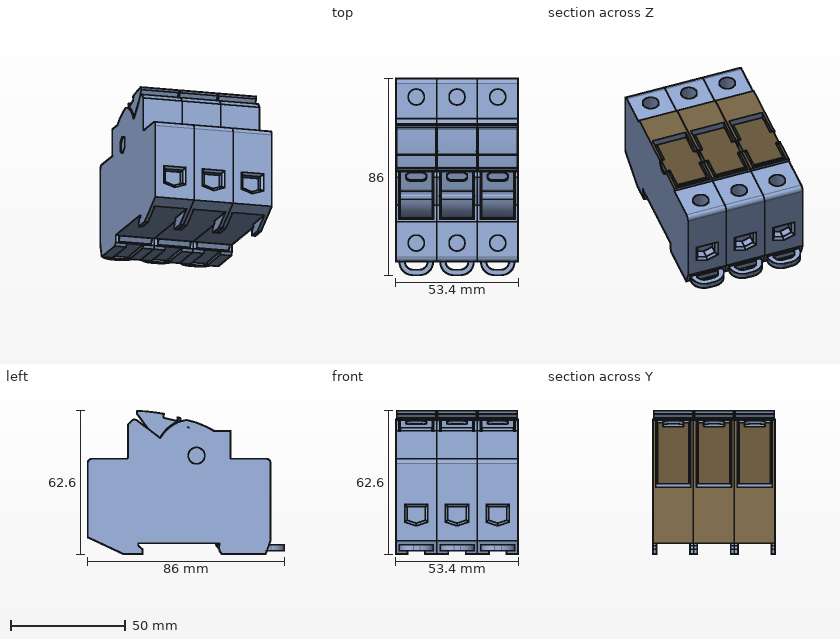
import cadquery as cq
import math


POLE_COUNT = 3
POLE_PITCH = 17.8
BODY_LENGTH = 80.0
HALF_LENGTH = BODY_LENGTH / 2

SHOULDER_Z = 41.7
SHOULDER_FILLET = 2.0
TOWER_FRONT_Y = -22.5
TOWER_FRONT_Z = 53.8
TOWER_BACK_Y = 22.4
TOWER_PEAK_Z = 58.65
TOWER_CHAMFER = 2.1
TOWER_FOOT_FILLET = 0.7
BROW_START = (-15.4, TOWER_FRONT_Z)
BROW_MIDDLE = (-9.45, 56.75)
CREST = (-3.2, TOWER_PEAK_Z)
NOTCH_MIDDLE = (4.0, 55.5)
NOTCH_TIP = (8.3, 50.7)
NOTCH_BACK = (18.65, TOWER_PEAK_Z)
RIDGE = (19.6, TOWER_PEAK_Z + 0.2)

RAIL_Z = 4.65
RAIL_BACK_Y = 17.8
RAIL_FRONT_Y = -17.6
BACK_SLOPE_TOP_Z = 7.3
BACK_SLOPE_FOOT_Y = 24.4
HOOK_NOSE_Y = 16.0
HOOK_NOSE_Z = 2.1
HOOK_ROOT_Z = 3.7
FRONT_FOOT_CHAMFER_Y = -18.6
FRONT_SLOPE_FOOT_Y = -37.8
FRONT_SLOPE_TOP_Z = 5.9
FRONT_SLOT_WIDTH = 7.6
BACK_SLOT_WIDTH = 14.6

HINGE_Y = -7.6
HINGE_Z = 43.0
HINGE_PIN_DIAMETER = 7.2
HINGE_PIN_RECESS = 0.5
CHAMBER_WIDTH = 15.2
CHAMBER_FRONT_WALL = 1.1

SCREW_HOLE_DIAMETER = 7.0
SCREW_HOLE_DEPTH = 12.0
SCREW_HOLE_Y = 31.9
ENTRY_HALF_WIDTH = 5.1
ENTRY_TOP_Z = 21.7
ENTRY_SHOULDER_Z = 14.0
ENTRY_TIP_Z = 12.3
ENTRY_BEVEL = 1.1
ENTRY_BEVEL_ANGLE = 45.0
ENTRY_DEPTH = 4.5

GRIP_WIDTH = 17.1
HANDLE_TOP_Z = 62.63
SEAT_END_Y = 13.7
HEEL_Y = 18.5
HEEL_BOTTOM_Z = 61.3
HEEL_RADIUS = 0.6
CROWN_MIDDLE = (12.2, 62.15)
CROWN_END = (6.5, 61.3)
LIP_THICKNESS = 0.4
LIP_OVERHANG = 0.35
STEP_WALL_BOTTOM_Z = 60.1
STEP_FILLET_MIDDLE = (6.7, 59.7)
STEP_FLOOR_START = (6.35, 59.45)
STEP_FLOOR_END = (1.5, 58.35)
BEAD_FILLET_MIDDLE = (0.95, 58.45)
BEAD_BACK_BOTTOM = (0.6, 58.9)
BEAD_BACK_TOP = (0.6, 59.45)
BEAD_TIP = (0.9, 59.55)
BEAD_PEAK = (0.6, 59.8)
BEAD_FRONT_TOP = (-0.4, 59.5)
BEAD_FRONT_CORNER = (-0.7, 59.2)
GRIP_UNDERSIDE_MIDDLE = (4.1, 55.8)

LEVER_WIDTH = 13.8
PLATE_TOP = (-0.7, 58.4)
PLATE_FOOT = (-8.6, 55.1)
GROOVE_BACK = (-9.3, 54.7)
GROOVE_MIDDLE = (-9.7, 54.25)
GROOVE_FLOOR = (-10.45, 54.1)
GROOVE_FRONT = (-11.65, 54.5)
DRUM_RADIUS = 13.2
DRUM_START_Y = -12.75
LEVER_ROOT = (4.0, 57.5)
THUMB_SLOT_Y = -3.0
THUMB_SLOT_LENGTH = 9.1
THUMB_SLOT_WIDTH = 4.0
THUMB_SLOT_DEPTH = 1.5

CLIP_WIDTH = 14.85
CLIP_THICKNESS = 2.7
CLIP_BOTTOM_Z = 1.4
CLIP_FRONT_Y = -46.0
CLIP_BACK_Y = -16.0
CLIP_CORNER_RADIUS = 6.0
CLIP_LOOP_WALL = 2.5
CLIP_NOSE_BEVEL = 2.0


def slab(profile, width):
    """Extrude a closed Y-Z profile symmetrically about X = 0."""
    return profile.extrude(width / 2, both=True)


def box_between(width, y_range, z_range):
    """Box centred on X = 0 between two Y and two Z positions."""
    length = y_range[1] - y_range[0]
    height = z_range[1] - z_range[0]
    box = cq.Workplane("XY").box(width, length, height, centered=(True, False, False))
    return box.translate((0, y_range[0], z_range[0]))


def hinge_cylinder(length):
    """Cylinder on the hinge axis, centred on the pole."""
    circle = cq.Workplane("YZ").center(HINGE_Y, HINGE_Z).circle(HINGE_PIN_DIAMETER / 2)
    return slab(circle, length)


def housing_block():
    profile = (
        cq.Workplane("YZ")
        .moveTo(HALF_LENGTH, BACK_SLOPE_TOP_Z)
        .lineTo(BACK_SLOPE_FOOT_Y, 0)
        .lineTo(HOOK_NOSE_Y, 0)
        .lineTo(HOOK_NOSE_Y, HOOK_NOSE_Z)
        .lineTo(RAIL_BACK_Y, HOOK_ROOT_Z)
        .lineTo(RAIL_BACK_Y, RAIL_Z)
        .lineTo(RAIL_FRONT_Y, RAIL_Z)
        .lineTo(RAIL_FRONT_Y, CLIP_BOTTOM_Z)
        .lineTo(FRONT_FOOT_CHAMFER_Y, 0)
        .lineTo(FRONT_SLOPE_FOOT_Y, 0)
        .lineTo(-HALF_LENGTH, FRONT_SLOPE_TOP_Z)
        .lineTo(-HALF_LENGTH, SHOULDER_Z - SHOULDER_FILLET)
        .radiusArc((-HALF_LENGTH + SHOULDER_FILLET, SHOULDER_Z), SHOULDER_FILLET)
        .lineTo(TOWER_FRONT_Y, SHOULDER_Z)
        .lineTo(TOWER_FRONT_Y, TOWER_FRONT_Z)
        .lineTo(*BROW_START)
        .threePointArc(BROW_MIDDLE, CREST)
        .threePointArc(NOTCH_MIDDLE, NOTCH_TIP)
        .lineTo(*NOTCH_BACK)
        .lineTo(*RIDGE)
        .lineTo(TOWER_BACK_Y - TOWER_CHAMFER, TOWER_PEAK_Z)
        .lineTo(TOWER_BACK_Y, TOWER_PEAK_Z - TOWER_CHAMFER)
        .lineTo(TOWER_BACK_Y, SHOULDER_Z + TOWER_FOOT_FILLET)
        .radiusArc((TOWER_BACK_Y + TOWER_FOOT_FILLET, SHOULDER_Z), -TOWER_FOOT_FILLET)
        .lineTo(HALF_LENGTH - SHOULDER_FILLET, SHOULDER_Z)
        .radiusArc((HALF_LENGTH, SHOULDER_Z - SHOULDER_FILLET), SHOULDER_FILLET)
        .close()
    )
    return slab(profile, POLE_PITCH)


def handle_chamber():
    """Pocket open at the top, with equal clearance in front of and below the drum."""
    front_y = TOWER_FRONT_Y + CHAMBER_FRONT_WALL
    front_to_hinge = HINGE_Y - front_y
    floor_z = HINGE_Z - front_to_hinge
    return box_between(CHAMBER_WIDTH, (front_y, NOTCH_TIP[0]), (floor_z, HANDLE_TOP_Z))


def screw_holes():
    return (
        cq.Workplane("XY", origin=(0, 0, SHOULDER_Z - SCREW_HOLE_DEPTH))
        .pushPoints([(0, -SCREW_HOLE_Y), (0, SCREW_HOLE_Y)])
        .circle(SCREW_HOLE_DIAMETER / 2)
        .extrude(SCREW_HOLE_DEPTH)
    )


def wire_entry():
    """Five-sided funnel in the -Y face, with a straight pocket behind it."""
    outline = [
        (-ENTRY_HALF_WIDTH, ENTRY_TOP_Z),
        (ENTRY_HALF_WIDTH, ENTRY_TOP_Z),
        (ENTRY_HALF_WIDTH, ENTRY_SHOULDER_Z),
        (0, ENTRY_TIP_Z),
        (-ENTRY_HALF_WIDTH, ENTRY_SHOULDER_Z),
    ]
    bevel_depth = ENTRY_BEVEL / math.tan(math.radians(ENTRY_BEVEL_ANGLE))
    mouth = cq.Workplane("XZ", origin=(0, -HALF_LENGTH, 0)).polyline(outline).close()
    funnel = mouth.extrude(-bevel_depth, taper=ENTRY_BEVEL_ANGLE)
    throat = funnel.faces(">Y").wires().toPending().workplane()
    return throat.extrude(ENTRY_DEPTH - bevel_depth)


def foot_slots():
    """Narrow slot under the clip and a wider one through the back foot."""
    front = box_between(FRONT_SLOT_WIDTH, (-HALF_LENGTH, RAIL_FRONT_Y), (0, CLIP_BOTTOM_Z))
    back = box_between(BACK_SLOT_WIDTH, (HOOK_NOSE_Y, HALF_LENGTH), (0, RAIL_Z))
    return front.union(back)


def make_housing(clip_body):
    entry = wire_entry()
    return (
        housing_block()
        .cut(handle_chamber())
        .cut(hinge_cylinder(POLE_PITCH))
        .cut(screw_holes())
        .cut(entry)
        .cut(entry.mirror("XZ"))
        .cut(foot_slots())
        .cut(clip_body)
    )


def grip():
    """Full-width upper part of the handle, resting in the notch of the housing."""
    seat_slope = (NOTCH_BACK[1] - NOTCH_TIP[1]) / (NOTCH_BACK[0] - NOTCH_TIP[0])
    seat_end_z = NOTCH_TIP[1] + seat_slope * (SEAT_END_Y - NOTCH_TIP[0])
    lip_y, lip_top_z = CROWN_END
    lip_bottom_z = lip_top_z - LIP_THICKNESS
    step_wall_y = lip_y + LIP_OVERHANG
    profile = (
        cq.Workplane("YZ")
        .moveTo(*NOTCH_TIP)
        .lineTo(SEAT_END_Y, seat_end_z)
        .lineTo(HEEL_Y, HEEL_BOTTOM_Z)
        .lineTo(HEEL_Y, HANDLE_TOP_Z - HEEL_RADIUS)
        .radiusArc((HEEL_Y - HEEL_RADIUS, HANDLE_TOP_Z), -HEEL_RADIUS)
        .threePointArc(CROWN_MIDDLE, CROWN_END)
        .lineTo(lip_y, lip_bottom_z)
        .lineTo(step_wall_y, lip_bottom_z)
        .lineTo(step_wall_y, STEP_WALL_BOTTOM_Z)
        .threePointArc(STEP_FILLET_MIDDLE, STEP_FLOOR_START)
        .lineTo(*STEP_FLOOR_END)
        .threePointArc(BEAD_FILLET_MIDDLE, BEAD_BACK_BOTTOM)
        .lineTo(*BEAD_BACK_TOP)
        .lineTo(*BEAD_TIP)
        .lineTo(*BEAD_PEAK)
        .lineTo(*BEAD_FRONT_TOP)
        .lineTo(*BEAD_FRONT_CORNER)
        .lineTo(*PLATE_TOP)
        .threePointArc(GRIP_UNDERSIDE_MIDDLE, NOTCH_TIP)
        .close()
    )
    return slab(profile, GRIP_WIDTH)


def lever():
    """Narrow part inside the chamber: sloping plate, cross groove and round drum."""
    drum_start_z = HINGE_Z + math.sqrt(DRUM_RADIUS**2 - (DRUM_START_Y - HINGE_Y) ** 2)
    drum_bottom = (HINGE_Y, HINGE_Z - DRUM_RADIUS)
    drum_back = (HINGE_Y + DRUM_RADIUS, HINGE_Z)
    profile = (
        cq.Workplane("YZ")
        .moveTo(*PLATE_TOP)
        .lineTo(*PLATE_FOOT)
        .lineTo(*GROOVE_BACK)
        .threePointArc(GROOVE_MIDDLE, GROOVE_FLOOR)
        .lineTo(*GROOVE_FRONT)
        .lineTo(DRUM_START_Y, drum_start_z)
        .threePointArc(drum_bottom, drum_back)
        .lineTo(*NOTCH_TIP)
        .lineTo(*LEVER_ROOT)
        .close()
    )
    return slab(profile, LEVER_WIDTH)


def thumb_slot():
    """Shallow round-ended slot sunk square into the sloping plate."""
    plate_slope = (PLATE_TOP[1] - PLATE_FOOT[1]) / (PLATE_TOP[0] - PLATE_FOOT[0])
    plate_z = PLATE_TOP[1] + plate_slope * (THUMB_SLOT_Y - PLATE_TOP[0])
    return (
        cq.Workplane("XY")
        .slot2D(THUMB_SLOT_LENGTH, THUMB_SLOT_WIDTH)
        .extrude(-THUMB_SLOT_DEPTH)
        .rotate((0, 0, 0), (1, 0, 0), math.degrees(math.atan(plate_slope)))
        .translate((0, THUMB_SLOT_Y, plate_z))
    )


def make_handle():
    hinge_pins = hinge_cylinder(POLE_PITCH - 2 * HINGE_PIN_RECESS)
    return grip().union(lever()).union(hinge_pins).cut(thumb_slot())


def clip_plate():
    """Flat plate, square at the back and rounded at both front corners."""
    half = CLIP_WIDTH / 2
    flat = half - CLIP_CORNER_RADIUS
    side_y = CLIP_FRONT_Y + CLIP_CORNER_RADIUS
    return (
        cq.Workplane("XY", origin=(0, 0, CLIP_BOTTOM_Z))
        .moveTo(-half, CLIP_BACK_Y)
        .lineTo(-half, side_y)
        .radiusArc((-flat, CLIP_FRONT_Y), -CLIP_CORNER_RADIUS)
        .lineTo(flat, CLIP_FRONT_Y)
        .radiusArc((half, side_y), -CLIP_CORNER_RADIUS)
        .lineTo(half, CLIP_BACK_Y)
        .close()
        .extrude(CLIP_THICKNESS)
    )


def pull_loop_hole():
    """D-shaped hole of the pull loop, an even wall inside the rounded end of the clip."""
    width = CLIP_WIDTH - 2 * CLIP_LOOP_WALL
    radius = CLIP_CORNER_RADIUS - CLIP_LOOP_WALL
    half = width / 2
    flat = half - radius
    front_y = CLIP_FRONT_Y + CLIP_LOOP_WALL
    back_y = front_y + radius
    return (
        cq.Workplane("XY", origin=(0, 0, CLIP_BOTTOM_Z))
        .moveTo(-half, back_y)
        .radiusArc((-flat, front_y), -radius)
        .lineTo(flat, front_y)
        .radiusArc((half, back_y), -radius)
        .close()
        .extrude(CLIP_THICKNESS)
    )


def nose_bevel():
    """Wedge removed under the back end of the clip, where it grips the rail."""
    profile = (
        cq.Workplane("YZ")
        .moveTo(CLIP_BACK_Y, CLIP_BOTTOM_Z)
        .lineTo(CLIP_BACK_Y, CLIP_BOTTOM_Z + CLIP_THICKNESS)
        .lineTo(CLIP_BACK_Y - CLIP_NOSE_BEVEL, CLIP_BOTTOM_Z)
        .close()
    )
    return slab(profile, CLIP_WIDTH)


def make_clip():
    return clip_plate().cut(pull_loop_hole()).cut(nose_bevel())


clip = make_clip()
housing = make_housing(clip)
handle = make_handle()

bodies = []
for pole in range(POLE_COUNT):
    pole_x = POLE_PITCH * (pole - (POLE_COUNT - 1) / 2)
    for body in (housing, handle, clip):
        bodies.append(body.translate((pole_x, 0, 0)).solids().val())

result = cq.Compound.makeCompound(bodies)